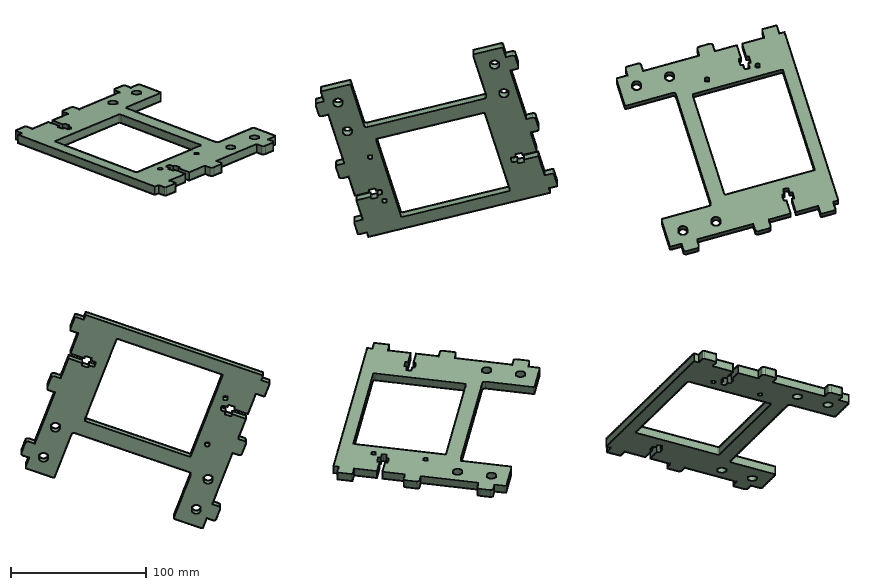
import cadquery as cq

thickness = 6.8
body_width = 140.0
plate_length = 130.0
half_body = body_width / 2

notch_width = 94.0
notch_front_y = 91.2
notch_corner_radius = 2.0
arm_corner_radius = 1.0

window_width = 83.6
window_front_y = 9.8
window_rear_y = 79.5
window_corner_radius = 1.0

tab_projection = thickness
tab_length = 12.0
rear_tab_front_y = 109.2
middle_tab_front_y = 53.8
tab_corner_radius = 2.0
front_tab_length = 11.6
front_tab_front_y = 4.0
front_tab_corner_radius = 1.0

slot_y = 34.8
slot_width = 4.0
slot_depth = 20.2
slot_end_radius = 1.0
nut_pocket_depth = 11.0
nut_pocket_thickness = 5.2
nut_pocket_width = 8.0
nut_pocket_corner_radius = 0.8

arm_hole_diameter = 7.0
arm_hole_x = 60.2
arm_hole_ys = (91.7, 117.2)
pilot_hole_diameter = 3.4
pilot_hole_x = 50.0
pilot_hole_ys = (26.7, 65.8)


def block(x_min, x_max, y_min, y_max):
    """Full-thickness block between the given X and Y limits."""
    return (
        cq.Workplane("XY")
        .rect(x_max - x_min, y_max - y_min)
        .extrude(thickness)
        .translate(((x_min + x_max) / 2, (y_min + y_max) / 2, 0))
    )


def both_sides(right_side):
    """A right-hand feature together with its mirror image in the YZ plane."""
    return right_side.union(right_side.mirror("YZ"))


def make_body():
    """Plate with rounded rear corners and a rear notch."""
    body = block(-half_body, half_body, 0, plate_length)
    notch = block(-notch_width / 2, notch_width / 2, notch_front_y, plate_length)
    notch = notch.edges("|Z and <Y").fillet(notch_corner_radius)
    return body.cut(notch).edges("|Z and >Y").fillet(arm_corner_radius)


def make_window():
    """Cutter for the window."""
    window = block(-window_width / 2, window_width / 2, window_front_y, window_rear_y)
    return window.edges("|Z").fillet(window_corner_radius)


def make_tabs(front_y, length, corner_radius):
    """Pair of side tabs with rounded outer corners."""
    tab = block(half_body, half_body + tab_projection, front_y, front_y + length)
    return both_sides(tab.edges("|Z and >X").fillet(corner_radius))


def make_t_slots():
    """Cutters for the pair of T-slots."""
    slot = block(
        half_body - slot_depth, half_body, slot_y - slot_width / 2, slot_y + slot_width / 2
    )
    slot = slot.edges("|Z and <X").fillet(slot_end_radius)
    pocket_outer_x = half_body - nut_pocket_depth
    nut_pocket = block(
        pocket_outer_x - nut_pocket_thickness,
        pocket_outer_x,
        slot_y - nut_pocket_width / 2,
        slot_y + nut_pocket_width / 2,
    )
    nut_pocket = nut_pocket.edges("|Z").fillet(nut_pocket_corner_radius)
    return both_sides(slot.union(nut_pocket))


def make_holes(centers, diameter):
    """Cutters for through holes at the given centers."""
    return cq.Workplane("XY").pushPoints(centers).circle(diameter / 2).extrude(thickness)


arm_hole_centers = [(x, y) for x in (-arm_hole_x, arm_hole_x) for y in arm_hole_ys]
pilot_hole_centers = [(pilot_hole_x, y) for y in pilot_hole_ys]

result = make_body()
result = result.union(make_tabs(rear_tab_front_y, tab_length, tab_corner_radius))
result = result.union(make_tabs(middle_tab_front_y, tab_length, tab_corner_radius))
result = result.union(make_tabs(front_tab_front_y, front_tab_length, front_tab_corner_radius))
result = result.cut(make_window())
result = result.cut(make_t_slots())
result = result.cut(make_holes(arm_hole_centers, arm_hole_diameter))
result = result.cut(make_holes(pilot_hole_centers, pilot_hole_diameter))